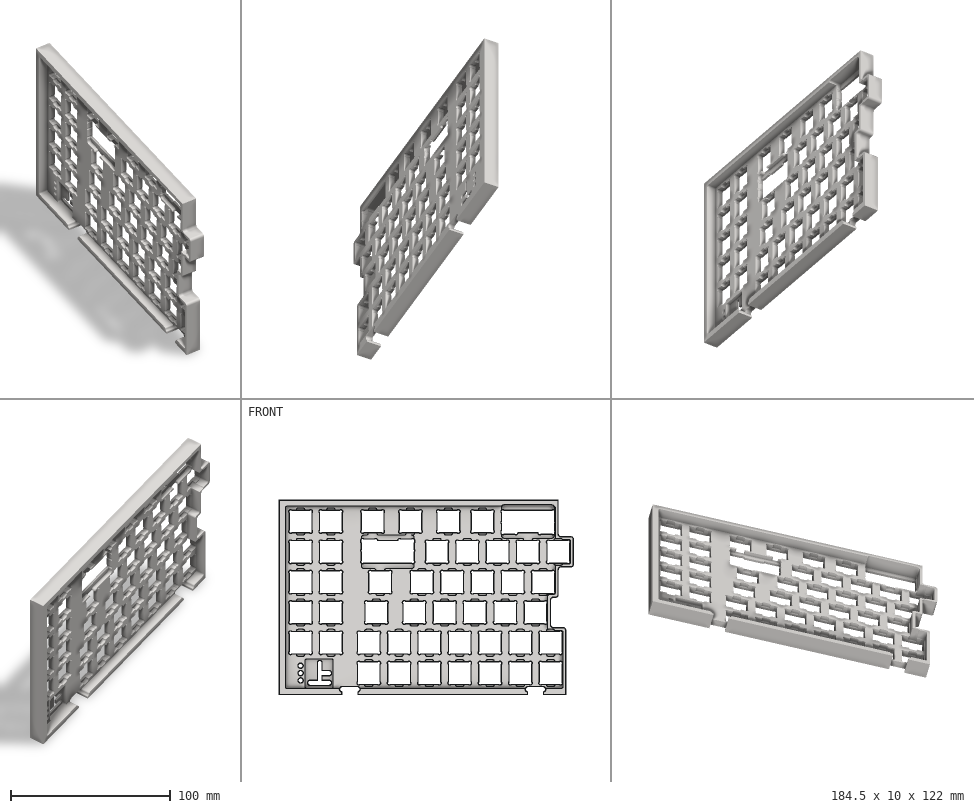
import cadquery as cq
import math


pitch = 19.0
margin = 13.5
row_count = 6
top_row = row_count - 1
key_rows = [
    [2.25 + step for step in range(7)],
    [0, 1] + [2.25 + step for step in range(7)],
    [0, 1, 2.5] + [3.75 + step for step in range(5)],
    [0, 1, 2.625] + [4 + step for step in range(5)],
    [0, 1] + [4.5 + step for step in range(5)],
    [0, 1, 2.375, 3.625, 4.875, 6],
]
row_ends = [8.75, 8.75, 8.25, 8.5, 9, 8.5]
wide_keys = [(7.5, 5, -1), (2.875, 4, 1)]
blended_clips = [
    (7.5, 4, 1, -1),
    (7.5, 4, 1, 1),
    (2.625, 3, 1, -1),
    (2.625, 3, 1, 1),
    (2.375, 5, -1, -1),
    (2.375, 5, -1, 1),
    (3.625, 5, -1, -1),
]

height = 2 * margin + top_row * pitch
total_depth = 10.0
plate_thickness = 4.0
floor_thickness = 1.5
rim_width = 3.9
step_wall = 1.8
step_radius = 1.7
recess_radius = 1.1

window = 14.0
relief_radius = 1.1
relief_inset = 0.7
clip_width = 5.4
clip_height = 1.5
clip_radius = 1.3

wide_window = 33.1
wide_recess_height = 21.0
wide_recess_radius = 1.7
strip_height = 1.0
tab_width = 13.5

pin_diameter = 3.1
pin_spacing = 4.6
slot_recess_left = 16.3
slot_recess_width = 17.8
slot_recess_top = 22.4
stem_center = 25.5
stem_width = 2.8
stem_top = 21.3
stem_radius = 1.0
arm_width = 3.1
arm_right = 33.0
lower_arm_left = 18.0
arm_spacing = 6.1

notch_places = [1.625, 7.75]
notch_opening = 10.0
notch_width = 12.8
notch_top = 5.0
notch_slot_height = 3.3
notch_slot_z = notch_top - notch_slot_height / 2
notch_lip_radius = 0.5
notch_rim_radius = 1.1

selection_margin = 0.2


def key_x(place):
    return margin + place * pitch


def row_z(row):
    return margin + row * pitch


def prism(x_min, x_max, z_min, z_max, from_back=0.0):
    """Block from a distance above the back face up to the rim face."""
    block = cq.Workplane("XY").box(x_max - x_min, total_depth - from_back, z_max - z_min, centered=False)
    return block.translate((x_min, -total_depth, z_min))


def centered_prism(width, tall, from_back=0.0):
    return prism(-width / 2, width / 2, -tall / 2, tall / 2, from_back)


def cylinder(x, z, radius):
    return cq.Workplane("XZ").center(x, z).circle(radius).extrude(total_depth)


def stepped_outline():
    """Closed outline whose right side steps from row to row."""
    points = [(0, height), (0, 0), (key_x(row_ends[0]), 0)]
    for row in range(1, row_count):
        if row_ends[row] != row_ends[row - 1]:
            step_z = row_z(row - 0.5)
            points += [(key_x(row_ends[row - 1]), step_z), (key_x(row_ends[row]), step_z)]
    points.append((key_x(row_ends[top_row]), height))
    return cq.Workplane("XZ").polyline(points).close()


def frame():
    body = stepped_outline().extrude(total_depth)
    step_corners = cq.selectors.BoxSelector(
        (key_x(min(row_ends)) - selection_margin, -total_depth, margin),
        (key_x(max(row_ends)) + selection_margin, 0, height - margin),
    )
    body = body.edges("|Y").edges(step_corners).fillet(step_radius)
    well = stepped_outline().offset2D(-step_wall, "intersection").extrude(total_depth)
    well = well.intersect(
        prism(rim_width, key_x(max(row_ends)), rim_width, height - rim_width, plate_thickness)
    )
    return body.cut(well.edges("|Y").fillet(recess_radius))


def corner_reliefs(width, tall):
    """Round reliefs that run slightly past both sides of each corner of a window."""
    x = width / 2 - relief_inset
    z = tall / 2 - relief_inset
    centers = [(x, z), (-x, z), (x, -z), (-x, -z)]
    return cq.Workplane("XZ").pushPoints(centers).circle(relief_radius).extrude(total_depth)


def key_cutter():
    """Square window with corner reliefs and clip recesses above and below it."""
    cutter = centered_prism(window, window).union(corner_reliefs(window, window))
    clips = centered_prism(clip_width, window + 2 * clip_height, floor_thickness)
    return cutter.union(clips.edges("|Y").fillet(clip_radius))


def clip_blend(along_z, along_x):
    """Flare on one side of a clip recess that rounds its corner with a neighbouring recess."""
    base = window / 2
    edge = clip_width / 2
    end = base + clip_height
    bow = clip_radius * (1 - math.sqrt(0.5))
    profile = (
        cq.Workplane("XZ")
        .moveTo(0, along_z * base)
        .lineTo(along_x * edge, along_z * base)
        .lineTo(along_x * edge, along_z * (end - clip_radius))
        .threePointArc(
            (along_x * (edge + bow), along_z * (end - bow)),
            (along_x * (edge + clip_radius), along_z * end),
        )
        .lineTo(0, along_z * end)
        .close()
    )
    return profile.extrude(total_depth - floor_thickness).translate((0, -floor_thickness, 0))


def wide_key_cutter(side):
    """Double window with two stabiliser strips on one side, inside a shallow recess."""
    cutter = centered_prism(wide_window, window).union(corner_reliefs(wide_window, window))
    strip_width = (wide_window - tab_width) / 2
    strip_tall = window / 2 + strip_height
    strip = centered_prism(strip_width, strip_tall).union(corner_reliefs(strip_width, strip_tall))
    for end in (-1, 1):
        x = end * (tab_width + strip_width) / 2
        cutter = cutter.union(strip.translate((x, 0, side * strip_tall / 2)))
    recess = centered_prism(wide_window, wide_recess_height, floor_thickness)
    return cutter.union(recess.edges("|Y").fillet(wide_recess_radius))


def controller_cutters():
    """Row of pin holes beside a recess whose floor holds a branched slot."""
    pins = [cylinder(margin, margin + i * pin_spacing, pin_diameter / 2) for i in (-1, 0, 1)]
    slot_recess_right = slot_recess_left + slot_recess_width
    recess = prism(slot_recess_left, slot_recess_right, rim_width, slot_recess_top, floor_thickness)
    recess = recess.edges("|Y").fillet(recess_radius)
    stem_left = stem_center - stem_width / 2
    lower_z = margin - arm_spacing
    stem = prism(stem_left, stem_left + stem_width, lower_z, stem_top)
    stem = stem.edges("|Y and >Z").fillet(stem_radius)
    arms = []
    for left, z in ((stem_left, margin), (lower_arm_left, lower_z)):
        length = arm_right - left
        arm = cq.Workplane("XZ").center(left + length / 2, z).slot2D(length, arm_width)
        arms.append(arm.extrude(total_depth))
    return pins + [recess, stem] + arms


def notch_cutter():
    """Opening through the bottom rim that widens into a round-ended slot."""
    slot = cq.Workplane("XZ").center(0, notch_slot_z).slot2D(notch_width, notch_slot_height)
    opening = prism(-notch_opening / 2, notch_opening / 2, 0, notch_slot_z)
    cutter = opening.union(slot.extrude(total_depth))
    lips = cq.selectors.BoxSelector(
        (-notch_opening, -total_depth, selection_margin),
        (notch_opening, 0, notch_slot_z - selection_margin),
    )
    return cutter.edges("|Y").edges(lips).fillet(notch_lip_radius)


def round_rim_beside_notches(body):
    """Round the corners where the inner face of the rim runs into the notches."""
    for place in notch_places:
        corners = cq.selectors.BoxSelector(
            (key_x(place) - notch_width, -total_depth, rim_width - selection_margin),
            (key_x(place) + notch_width, -plate_thickness, rim_width + selection_margin),
        )
        body = body.edges("|Y").edges(corners).fillet(notch_rim_radius)
    return body


cutters = controller_cutters()
key = key_cutter()
for row, places in enumerate(key_rows):
    for place in places:
        cutters.append(key.translate((key_x(place), 0, row_z(row))))
for place, row, side in wide_keys:
    cutters.append(wide_key_cutter(side).translate((key_x(place), 0, row_z(row))))
for place, row, along_z, along_x in blended_clips:
    cutters.append(clip_blend(along_z, along_x).translate((key_x(place), 0, row_z(row))))
notch = notch_cutter()
for place in notch_places:
    cutters.append(notch.translate((key_x(place), 0, 0)))

body = cq.Workplane(frame().val().cut(*[cutter.val() for cutter in cutters])).clean()
result = round_rim_beside_notches(body)